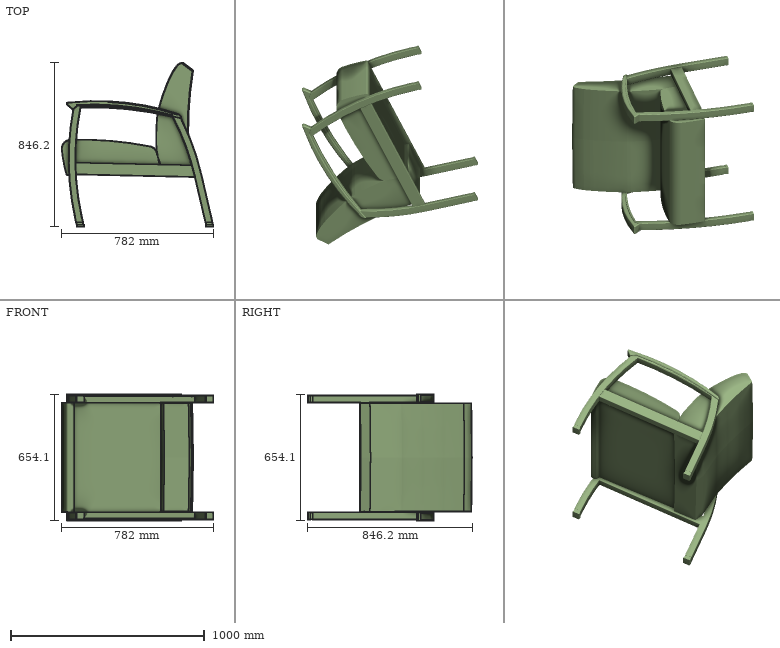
import cadquery as cq
import math


OVERALL_WIDTH = 654.05
OVERALL_DEPTH = 782.0
OVERALL_HEIGHT = 846.23

SEAT_WIDTH = 565.0
BACK_WIDTH = 560.0
INNER_Z = SEAT_WIDTH / 2
ARM_THICK = OVERALL_WIDTH / 2 - INNER_Z
LEG_THICK = 38.1
LEG_WIDTH = 36.0
RAIL_THICK = 32.0
EDGE_RADIUS = 2.03

GLIDE_BASE = 38.1
GLIDE_BASE_HEIGHT = 12.5
GLIDE_HEIGHT = 25.0
NECK_INSET = 0.8
FRONT_GLIDE_X = 97.0
REAR_GLIDE_X = OVERALL_DEPTH - GLIDE_BASE / 2

FLOOR_MARGIN = 40.0

FRONT_LEG_X = 53.6
FRONT_LEG_MID_Y = 350.0
FRONT_LEG_ARC_HALF = 300.0
FRONT_LEG_RADIUS = 1380.0

REAR_LEG_BEND = (704.5, 261.0)
REAR_LEG_RADIUS = 1340.0
REAR_LEG_LEAN = 13.1
REAR_LEG_TOP_LEAN = 30.0

RAIL_FRONT_X = 60.0
RAIL_REAR_X = 693.0
RAIL_HEIGHT = 61.0
RAIL_FRONT_TOP = 332.0
RAIL_REAR_TOP = 318.0

ARM_NOSE_TOP = (26.6, 641.5)
ARM_NOSE_BOTTOM = (26.6, 632.0)
ARM_CHIN = (57.0, 606.0)
UNDERSIDE_FRONT = (81.0, 625.5)
UNDERSIDE_MID = (325.0, 618.5)
UNDERSIDE_REAR = (570.0, 572.0)
ARM_TAIL_BOTTOM = (617.0, 560.0)
ARM_TAIL_TOP = (617.0, 569.0)
ARM_TOP_REAR = (602.0, 582.5)
ARM_TOP_MID = (320.0, 643.0)
ARM_TOP_FRONT = (150.0, 649.8)
ARM_EDGE_RADIUS = 5.0
ABOVE_ARM = 900.0

TOP_BAR_FRONT = (80.0, 615.0)
TOP_BAR_MID = (352.0, 606.0)
TOP_BAR_REAR = (590.0, 563.0)
TOP_BAR_EDGE_RADIUS = 4.0
TOP_BAR_RISE = 60.0

BULGE_X = 4.5
BULGE_Y = 3.0
BACK_TOP = OVERALL_HEIGHT - BULGE_Y


def mirror_across(body):
    """The same body on the opposite side of the chair."""
    return body.mirror("XY")


def rounded_strip(outline, thickness, inset=0.0, edge_radius=EDGE_RADIUS):
    """A bar set out from the inner plane by the inset, with its long edges rounded."""
    bar = outline.extrude(thickness).translate((0, 0, INNER_Z + inset))
    return bar.faces("<Z or >Z").edges().fillet(edge_radius)


def front_leg_blank(inset=0.0):
    radius = FRONT_LEG_RADIUS
    half = FRONT_LEG_ARC_HALF
    end_x = FRONT_LEG_X + radius - math.sqrt(radius**2 - half**2)
    end_y = FRONT_LEG_MID_Y - half
    slope = half / math.sqrt(radius**2 - half**2)
    drop = end_y + FLOOR_MARGIN
    centre_line = (
        cq.Workplane("XY")
        .moveTo(end_x, FRONT_LEG_MID_Y + half)
        .threePointArc((FRONT_LEG_X, FRONT_LEG_MID_Y), (end_x, end_y))
        .lineTo(end_x + slope * drop, -FLOOR_MARGIN)
    )
    outline = centre_line.offset2D(LEG_WIDTH / 2 - inset)
    return rounded_strip(outline, LEG_THICK - 2 * inset, inset)


def rear_leg_blank(inset=0.0):
    bend_x, bend_y = REAR_LEG_BEND
    lean = math.radians(REAR_LEG_LEAN)
    top_lean = math.radians(REAR_LEG_TOP_LEAN)

    def on_arc(angle):
        x = bend_x + REAR_LEG_RADIUS * (math.cos(angle) - math.cos(lean))
        y = bend_y + REAR_LEG_RADIUS * (math.sin(angle) - math.sin(lean))
        return x, y

    drop = bend_y + FLOOR_MARGIN
    centre_line = (
        cq.Workplane("XY")
        .moveTo(*on_arc(top_lean))
        .threePointArc(on_arc((lean + top_lean) / 2), REAR_LEG_BEND)
        .lineTo(bend_x + math.tan(lean) * drop, -FLOOR_MARGIN)
    )
    outline = centre_line.offset2D(LEG_WIDTH / 2 - inset)
    return rounded_strip(outline, LEG_THICK - 2 * inset, inset)


def slab(bottom, top):
    """A block covering the whole chair between two heights."""
    size = 3 * OVERALL_DEPTH
    return cq.Workplane("XZ").rect(size, size).extrude(bottom - top).translate((0, bottom, 0))


def rail():
    outline = cq.Workplane("XY").polyline([
        (RAIL_FRONT_X, RAIL_FRONT_TOP),
        (RAIL_REAR_X, RAIL_REAR_TOP),
        (RAIL_REAR_X, RAIL_REAR_TOP - RAIL_HEIGHT),
        (RAIL_FRONT_X, RAIL_FRONT_TOP - RAIL_HEIGHT),
    ]).close()
    return rounded_strip(outline, RAIL_THICK)


def top_bar():
    outline = (
        cq.Workplane("XY")
        .moveTo(*TOP_BAR_FRONT)
        .threePointArc(TOP_BAR_MID, TOP_BAR_REAR)
        .line(0, TOP_BAR_RISE)
        .lineTo(TOP_BAR_FRONT[0], TOP_BAR_REAR[1] + 2 * TOP_BAR_RISE)
        .close()
    )
    return rounded_strip(outline, LEG_THICK, edge_radius=TOP_BAR_EDGE_RADIUS)


def arm_underside():
    """The open line from the nose of the arm along its underside to the tail."""
    return (
        cq.Workplane("XY")
        .moveTo(*ARM_NOSE_BOTTOM)
        .lineTo(*ARM_CHIN)
        .lineTo(*UNDERSIDE_FRONT)
        .threePointArc(UNDERSIDE_MID, UNDERSIDE_REAR)
        .lineTo(*ARM_TAIL_BOTTOM)
    )


def side_frame():
    """Both legs, the seat rail and the bar under the arm, cut to seat the arm."""
    above_arm = (
        arm_underside()
        .lineTo(ARM_TAIL_BOTTOM[0] + LEG_WIDTH, ARM_TAIL_BOTTOM[1])
        .lineTo(ARM_TAIL_BOTTOM[0] + LEG_WIDTH, ABOVE_ARM)
        .lineTo(ARM_NOSE_BOTTOM[0], ABOVE_ARM)
        .close()
        .extrude(OVERALL_WIDTH)
    )
    frame = front_leg_blank().union(rear_leg_blank()).union(rail()).union(top_bar())
    return frame.cut(above_arm).cut(slab(-OVERALL_HEIGHT, GLIDE_HEIGHT))


def glide(neck_blank, centre_x):
    """A square foot whose neck carries on the line of its leg."""
    neck = neck_blank.intersect(slab(GLIDE_BASE_HEIGHT, GLIDE_HEIGHT))
    base = (
        cq.Workplane("XY")
        .box(GLIDE_BASE, GLIDE_BASE_HEIGHT, LEG_THICK)
        .edges("|Y")
        .fillet(EDGE_RADIUS)
        .translate((centre_x, GLIDE_BASE_HEIGHT / 2, INNER_Z + LEG_THICK / 2))
    )
    return base.union(neck)


def armrest():
    body = (
        arm_underside()
        .lineTo(*ARM_TAIL_TOP)
        .lineTo(*ARM_TOP_REAR)
        .threePointArc(ARM_TOP_MID, ARM_TOP_FRONT)
        .lineTo(*ARM_NOSE_TOP)
        .close()
        .extrude(ARM_THICK)
        .translate((0, 0, INNER_Z))
    )
    return body.faces("<Z or >Z").edges().fillet(ARM_EDGE_RADIUS)


def seat_cushion():
    """The seat, trimmed where its rear edge rests against the back cushion."""
    seat = (
        cq.Workplane("XY")
        .moveTo(35.5, 266.5)
        .threePointArc((27.5, 269.0), (23.5, 275.0))
        .threePointArc((8.0, 343.0), (0.0, 402.0))
        .threePointArc((16.5, 438.0), (48.0, 450.5))
        .threePointArc((254.0, 444.5), (453.0, 416.5))
        .threePointArc((478.0, 404.0), (490.5, 385.0))
        .lineTo(505.0, 326.0)
        .lineTo(510.7, 290.0)
        .lineTo(65.4, 290.0)
        .lineTo(59.6, 274.0)
        .threePointArc((57.0, 269.0), (51.6, 266.5))
        .close()
        .extrude(INNER_Z, both=True)
    )
    return seat.cut(back_cushion())


def back_section(z, shift_x, shift_y):
    """Closed outline of the back cushion at one place across the chair."""
    return (
        cq.Workplane("XY")
        .moveTo(525.6, 270.0)
        .lineTo(507.0, 326.0)
        .threePointArc((490.5, 390.0), (487.5, 457.0))
        .threePointArc((488.3, 510.0), (491.5, 563.0))
        .lineTo(494.0, 581.0)
        .threePointArc((510.5, 648.0), (538.0, 725.0))
        .lineTo(547.0, 748.0)
        .lineTo(554.0, 764.0)
        .lineTo(569.3, 795.0)
        .threePointArc((582.0, 815.0), (597.0, 834.0))
        .threePointArc((605.0, 840.5), (615.0, BACK_TOP))
        .lineTo(622.0, BACK_TOP)
        .lineTo(674.0, 804.0)
        .threePointArc((655.0, 650.0), (649.0, 483.0))
        .lineTo(666.0, 320.0)
        .lineTo(654.0, 270.0)
        .close()
        .val()
        .translate(cq.Vector(shift_x, shift_y, z))
    )


def back_cushion():
    half = BACK_WIDTH / 2
    sections = [
        back_section(-half, 0, 0),
        back_section(0, BULGE_X, BULGE_Y),
        back_section(half, 0, 0),
    ]
    return cq.Workplane(cq.Solid.makeLoft(sections, True))


bodies = [seat_cushion(), back_cushion()]
one_side = [
    side_frame(),
    armrest(),
    glide(front_leg_blank(NECK_INSET), FRONT_GLIDE_X),
    glide(rear_leg_blank(NECK_INSET), REAR_GLIDE_X),
]
for side_body in one_side:
    bodies.append(side_body)
    bodies.append(mirror_across(side_body))

result = cq.Compound.makeCompound([body.val() for body in bodies])